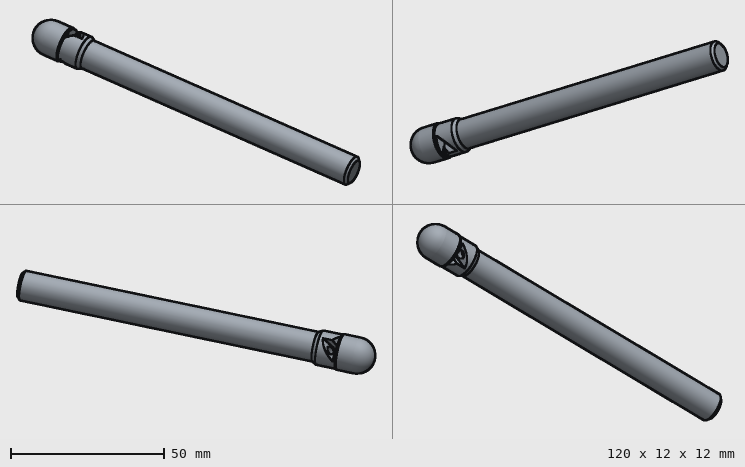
import cadquery as cq

TOTAL_LENGTH = 120.0
HEAD_RADIUS = 6.0
COLLAR_RADIUS = 5.8
SHANK_DIAMETER = 10.0
SHANK_RADIUS = SHANK_DIAMETER / 2
HEAD_END = 11.5
COLLAR_START = 12.0
COLLAR_END = 18.6
SHANK_START = 20.0
END_CHAMFER = 1.0

SEAT_WALL_Y = 0.7
SEAT_FRONT_X = 12.0
SEAT_CORNER_X = 12.7
FLOOR_OFFSET_X = 11.6
SEAT_TOP = 7.2
HOLE_DIAMETER = 2.8
HOLE_DEPTH = 3.0
HOLE_X = 14.3
HOLE_Y = 2.5

BEVEL_POINT = (12.2, SEAT_WALL_Y, 3.0)
BEVEL_NORMAL = (-4.0, 3.4, 2.9)
BEVEL_END_X = 15.0
BEVEL_Y_MIN = -2.4
CUT_SIZE = 24.0


def make_body():
    arc_mid = HEAD_RADIUS * 0.5 ** 0.5
    return (
        cq.Workplane("XZ")
        .moveTo(0, 0)
        .threePointArc((HEAD_RADIUS - arc_mid, arc_mid), (HEAD_RADIUS, HEAD_RADIUS))
        .lineTo(HEAD_END, HEAD_RADIUS)
        .lineTo(COLLAR_START, COLLAR_RADIUS)
        .lineTo(COLLAR_END, COLLAR_RADIUS)
        .lineTo(SHANK_START, SHANK_RADIUS)
        .lineTo(TOTAL_LENGTH - END_CHAMFER, SHANK_RADIUS)
        .lineTo(TOTAL_LENGTH, SHANK_RADIUS - END_CHAMFER)
        .lineTo(TOTAL_LENGTH, 0)
        .close()
        .revolve(360, (0, 0, 0), (1, 0, 0))
    )


def make_seat_pocket():
    """Wedge between the steep front wall and the 45 degree floor."""
    return (
        cq.Workplane("XZ", origin=(0, SEAT_WALL_Y, 0))
        .polyline([
            (SEAT_FRONT_X, SEAT_TOP),
            (SEAT_FRONT_X, HEAD_RADIUS),
            (SEAT_CORNER_X, SEAT_CORNER_X - FLOOR_OFFSET_X),
            (FLOOR_OFFSET_X + SEAT_TOP, SEAT_TOP),
        ])
        .close()
        .extrude(-HEAD_RADIUS)
    )


def make_seat_hole():
    """Blind hole square to the sloped floor."""
    start = cq.Vector(HOLE_X, HOLE_Y, HOLE_X - FLOOR_OFFSET_X)
    inward = cq.Vector(1, 0, -1)
    return cq.Solid.makeCylinder(HOLE_DIAMETER / 2, HOLE_DEPTH, start, inward)


def make_wall_bevel():
    """Material outside the bevel plane, kept behind the head."""
    outside = (
        cq.Workplane(cq.Plane(origin=BEVEL_POINT, normal=BEVEL_NORMAL))
        .rect(CUT_SIZE, CUT_SIZE)
        .extrude(CUT_SIZE)
    )
    limits = (
        cq.Workplane("XY")
        .box(BEVEL_END_X - SEAT_FRONT_X, SEAT_WALL_Y - BEVEL_Y_MIN, SEAT_TOP, centered=False)
        .translate((SEAT_FRONT_X, BEVEL_Y_MIN, 0))
    )
    return outside.intersect(limits)


seat_cuts = [make_seat_pocket(), make_seat_hole(), make_wall_bevel()]
result = make_body()
for turn in (0, 180):
    for cut in seat_cuts:
        result = result.cut(cut.rotate((0, 0, 0), (1, 0, 0), turn))